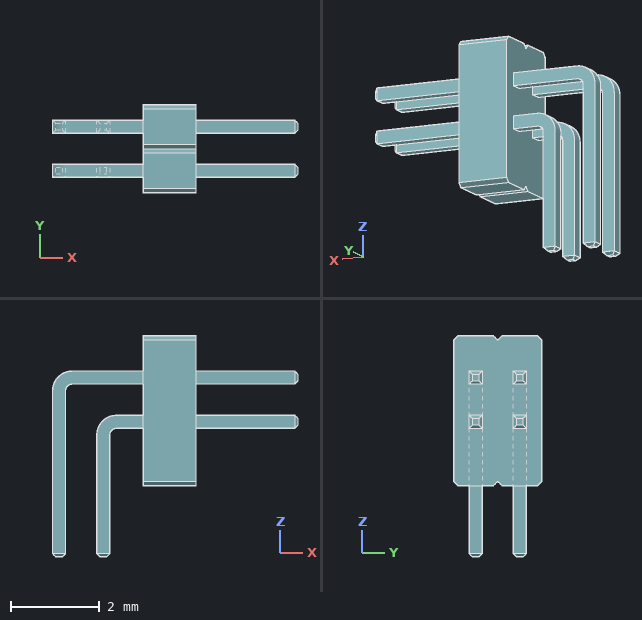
import cadquery as cq

pitch = 1.0
columns = 2
pins_per_column = 2

pin_width = 0.3
pin_end_x = 5.55
pin_top_z = 4.2
bend_inner_radius = pin_width / 2
bend_outer_radius = bend_inner_radius + pin_width
tip_chamfer = pin_width / 4

housing_start_x = 2.05
housing_length = 1.2
housing_height = 3.395
housing_top_z = 5.0
housing_chamfer = 0.1


def column_y(index):
    """Y position of a pin column's centre."""
    return (index - (columns - 1) / 2) * pitch


def housing_cell(y):
    """Housing block around one pin column, chamfered on its edges along X."""
    return (
        cq.Workplane("XY")
        .box(housing_length, pitch, housing_height, centered=(False, True, False))
        .edges("|X")
        .chamfer(housing_chamfer)
        .translate((housing_start_x, y, housing_top_z - housing_height))
    )


def bent_pin(nesting, y):
    """L-shaped pin; each nesting step moves the bend inwards by one pitch in X and Z."""
    rear_x = nesting * pitch
    top_z = pin_top_z - nesting * pitch
    inner_x = rear_x + pin_width
    inner_z = top_z - pin_width
    return (
        cq.Workplane("XZ", origin=(0, y, 0))
        .moveTo(rear_x, 0)
        .lineTo(rear_x, top_z - bend_outer_radius)
        .tangentArcPoint((bend_outer_radius, bend_outer_radius))
        .lineTo(pin_end_x, top_z)
        .lineTo(pin_end_x, inner_z)
        .lineTo(inner_x + bend_inner_radius, inner_z)
        .tangentArcPoint((-bend_inner_radius, -bend_inner_radius))
        .lineTo(inner_x, 0)
        .close()
        .extrude(pin_width / 2, both=True)
        .faces(">X or <Z")
        .chamfer(tip_chamfer)
    )


result = cq.Workplane("XY")
for column in range(columns):
    result = result.union(housing_cell(column_y(column)))
for column in range(columns):
    for nesting in range(pins_per_column):
        result = result.union(bent_pin(nesting, column_y(column)))